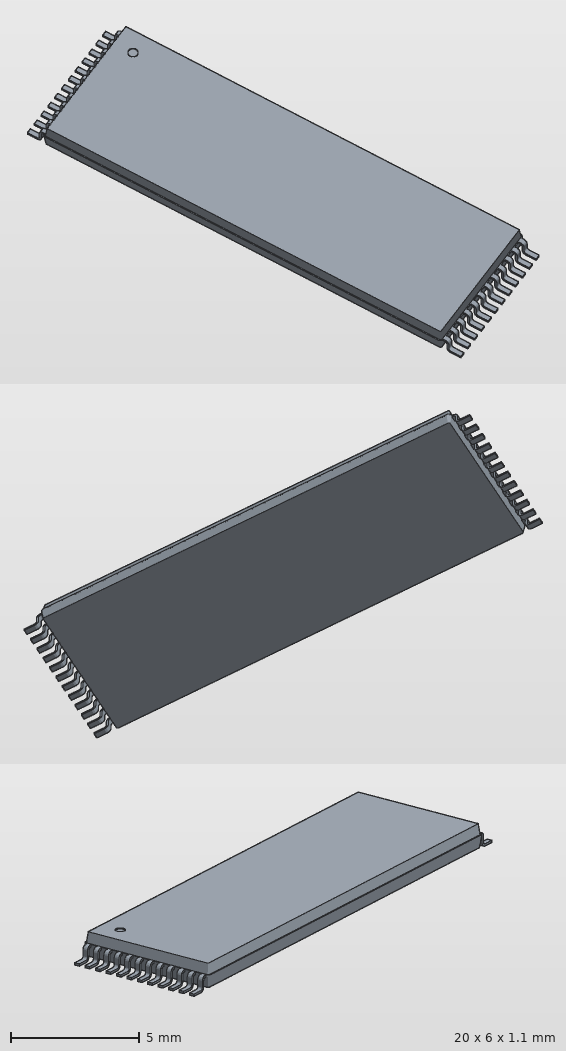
import cadquery as cq
import math


span_x = 20.0
total_height = 1.1
standoff = 0.1

body_length = 18.4
body_width = 6.0
draft_inset = 0.07
upper_step = 0.05
corner_radius = 0.14

leads_per_side = 12
lead_pitch = 0.5
lead_width = 0.22
lead_thickness = 0.1
foot_length = 0.55
inner_bend_radius = 0.1
lead_embed = 0.3

mark_diameter = 0.4
mark_depth = 0.05
mark_edge_distance = 0.9

lead_mid_z = (standoff + total_height) / 2
band_bottom_z = lead_mid_z - lead_thickness / 2
band_top_z = lead_mid_z + lead_thickness / 2
half_height = total_height - band_top_z
top_inset = upper_step + draft_inset
mark_x = -(body_length / 2 - top_inset - mark_edge_distance)
mark_y = body_width / 2 - top_inset - mark_edge_distance
outer_bend_radius = inner_bend_radius + lead_thickness


def body_slice(start_z, height, taper=0, inset=0):
    """Rounded rectangle set in from the band outline, extruded from start_z and narrowed by the taper."""
    length = body_length - 2 * inset
    width = body_width - 2 * inset
    outline = cq.Sketch().rect(length, width).vertices().fillet(corner_radius - inset)
    return cq.Workplane("XY", origin=(0, 0, start_z)).placeSketch(outline).extrude(height, taper=taper)


def make_body():
    """Straight parting band between two drafted halves, the upper one set back by a ledge."""
    draft_angle = math.degrees(math.atan(draft_inset / half_height))
    band = body_slice(band_bottom_z, lead_thickness)
    upper_half = body_slice(band_top_z, half_height, draft_angle, upper_step)
    lower_half = body_slice(band_bottom_z, -half_height, draft_angle)
    return band.union(upper_half).union(lower_half)


def make_lead():
    """Gull-wing lead on the -X end, centred on Y = 0: foot, riser, shoulder."""
    tip_x = -span_x / 2
    riser_outer_x = tip_x + foot_length
    riser_inner_x = riser_outer_x + lead_thickness
    root_x = -body_length / 2 + lead_embed
    strip = (
        cq.Workplane("XZ", origin=(0, lead_width / 2, 0))
        .moveTo(tip_x, 0)
        .lineTo(riser_inner_x - outer_bend_radius, 0)
        .radiusArc((riser_inner_x, outer_bend_radius), -outer_bend_radius)
        .lineTo(riser_inner_x, band_bottom_z - inner_bend_radius)
        .radiusArc((riser_inner_x + inner_bend_radius, band_bottom_z), inner_bend_radius)
        .lineTo(root_x, band_bottom_z)
        .lineTo(root_x, band_top_z)
        .lineTo(riser_outer_x + outer_bend_radius, band_top_z)
        .radiusArc((riser_outer_x, band_top_z - outer_bend_radius), -outer_bend_radius)
        .lineTo(riser_outer_x, lead_thickness + inner_bend_radius)
        .radiusArc((riser_outer_x - inner_bend_radius, lead_thickness), inner_bend_radius)
        .lineTo(tip_x, lead_thickness)
        .close()
    )
    return strip.extrude(lead_width)


def add_leads(package):
    """Add one evenly pitched row of leads to each X end."""
    left_lead = make_lead()
    right_lead = left_lead.mirror("YZ")
    first_y = -(leads_per_side - 1) * lead_pitch / 2
    for index in range(leads_per_side):
        offset = (0, first_y + index * lead_pitch, 0)
        package = package.union(left_lead.translate(offset))
        package = package.union(right_lead.translate(offset))
    return package


def cut_pin_mark(package):
    """Sink the round pin 1 mark into the top face."""
    mark = (
        cq.Workplane("XY", origin=(mark_x, mark_y, total_height))
        .circle(mark_diameter / 2)
        .extrude(-mark_depth)
    )
    return package.cut(mark)


result = cut_pin_mark(add_leads(make_body()))